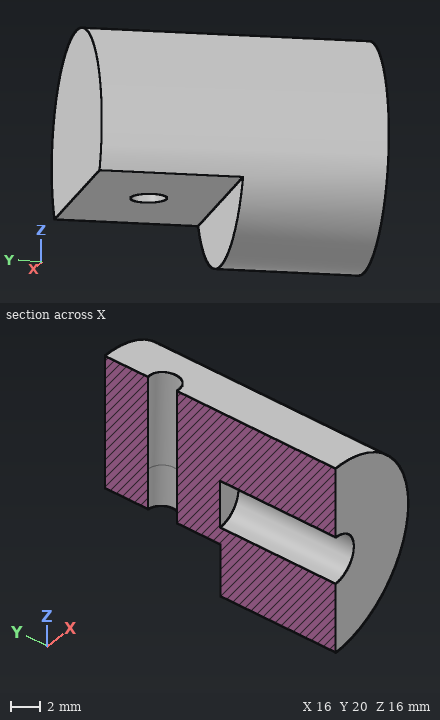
import cadquery as cq

length = 20.0
diameter = 16.0

bore_diameter = 4.0
bore_depth = length / 2

flat_length = length / 2
flat_offset = 3.5
tilt_angle = 1.4

cross_hole_diameter = 2.5
cross_hole_y = length - flat_length / 2


def rod(rod_diameter, rod_length):
    """Round bar on the Y axis, starting at the front end face."""
    return cq.Workplane("XZ").circle(rod_diameter / 2).extrude(-rod_length)


def tilted(shape):
    """Rotate a shape about the cylinder axis by the shared tilt."""
    return shape.rotate((0, 0, 0), (0, 1, 0), tilt_angle)


def flat_cutter():
    """Block that removes everything below the flat on the rear half."""
    block = cq.Workplane("XY").box(
        2 * diameter, flat_length, diameter, centered=(True, False, False)
    )
    return tilted(block.translate((0, length - flat_length, -flat_offset - diameter)))


def cross_hole_cutter():
    """Pin long enough to pass right through the cylinder."""
    pin = cq.Workplane("XY").circle(cross_hole_diameter / 2).extrude(diameter, both=True)
    return tilted(pin.translate((0, cross_hole_y, 0)))


body = rod(diameter, length)
body = body.cut(rod(bore_diameter, bore_depth))
body = body.cut(flat_cutter())
result = body.cut(cross_hole_cutter())